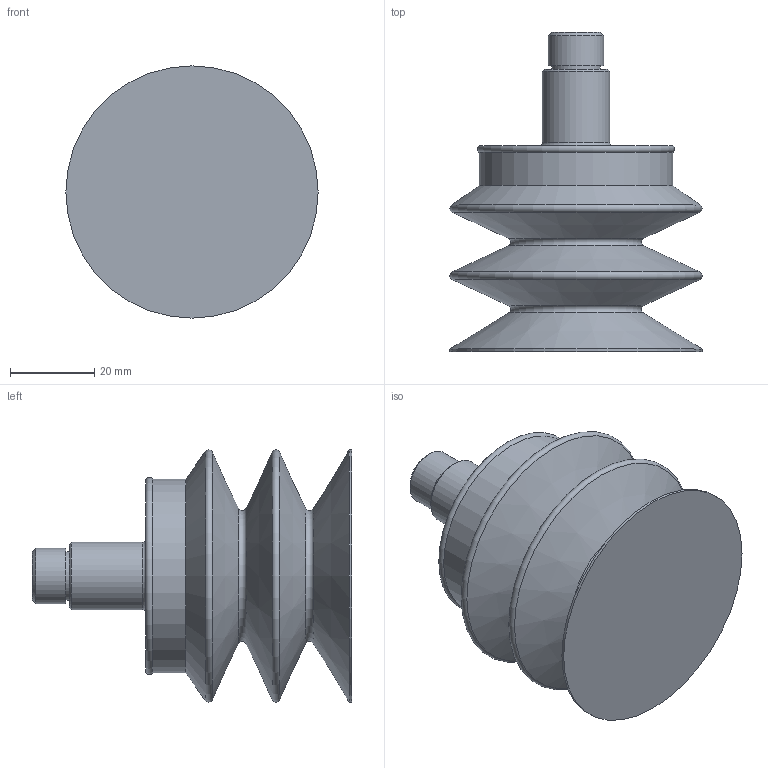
import cadquery as cq
import math


total_length = 76.0
cup_radius = 30.01

lip_thickness = 0.6

waist_radius = 15.55
first_waist_y = 10.05
fold_pitch = 16.0
fold_count = 2
waist_to_fold = fold_pitch / 2
waist_round_radius = 1.0
fold_round_radius = 1.0

collar_radius = 46.0 / 2
collar_start_y = 39.5
rim_overhang = 0.45
rim_width = 1.6
collar_end_y = 49.0

stem_radius = 16.0 / 2
stem_end_y = 67.2
stem_chamfer = 0.5
stem_root_fillet = 0.8
thread_radius = 13.16 / 2
thread_root_radius = 11.44 / 2
thread_length = 8.0
thread_chamfer = thread_radius - thread_root_radius


def add_round(profile, apex_radius, apex_y, round_radius, bulge, slope_before, slope_after):
    """Add an arc tangent to the cones before and after it.

    bulge is +1 for an outward fold and -1 for an inward waist. The slopes are the
    unsigned angles of the neighbouring cones from the Y axis.
    """
    centre_radius = apex_radius - bulge * round_radius

    def arc_point(slope, side):
        radius = centre_radius + bulge * round_radius * math.cos(slope)
        y = apex_y + side * round_radius * math.sin(slope)
        return (radius, y)

    start = arc_point(slope_before, -1)
    end = arc_point(slope_after, 1)
    return profile.lineTo(*start).threePointArc((apex_radius, apex_y), end)


def tangent_slope(radius_change, y_change, round_radii):
    """Steepness, as an angle from the Y axis, of a cone tangent to the rounds at its ends.

    The changes are the unsigned distances between the round centres, and round_radii is
    the sum of the round radii. A sharp end counts as a round of zero radius.
    """
    distance = math.hypot(radius_change, y_change)
    return math.atan2(radius_change, y_change) + math.asin(round_radii / distance)


def bellows_profile(profile):
    """Add the waists and folds, from the lip to the collar."""
    waist_centre_radius = waist_radius + waist_round_radius
    fold_centre_radius = cup_radius - fold_round_radius
    fold_slope = tangent_slope(
        fold_centre_radius - waist_centre_radius,
        waist_to_fold,
        waist_round_radius + fold_round_radius,
    )
    lip_slope = tangent_slope(
        cup_radius - waist_centre_radius, first_waist_y - lip_thickness, waist_round_radius
    )
    last_fold_y = first_waist_y + (fold_count - 1) * fold_pitch + waist_to_fold
    collar_slope = tangent_slope(
        fold_centre_radius - collar_radius, collar_start_y - last_fold_y, fold_round_radius
    )

    for index in range(fold_count):
        waist_y = first_waist_y + index * fold_pitch
        fold_y = waist_y + waist_to_fold
        slope_before_waist = lip_slope if index == 0 else fold_slope
        slope_after_fold = collar_slope if index == fold_count - 1 else fold_slope
        profile = add_round(
            profile, waist_radius, waist_y, waist_round_radius, -1, slope_before_waist, fold_slope
        )
        profile = add_round(
            profile, cup_radius, fold_y, fold_round_radius, 1, fold_slope, slope_after_fold
        )
    return profile


def collar_profile(profile):
    """Add the cylindrical collar and the rounded rim at its back."""
    rim_start_y = collar_end_y - rim_width
    return (
        profile.lineTo(collar_radius, collar_start_y)
        .lineTo(collar_radius, rim_start_y)
        .threePointArc(
            (collar_radius + rim_overhang, collar_end_y - rim_width / 2),
            (collar_radius, collar_end_y),
        )
    )


def stem_profile(profile):
    """Add the stem, the thread relief groove and the threaded end."""
    fillet_mid = stem_root_fillet * (1 - math.sqrt(0.5))
    thread_start_y = total_length - thread_length
    return (
        profile.lineTo(stem_radius + stem_root_fillet, collar_end_y)
        .threePointArc(
            (stem_radius + fillet_mid, collar_end_y + fillet_mid),
            (stem_radius, collar_end_y + stem_root_fillet),
        )
        .lineTo(stem_radius, stem_end_y - stem_chamfer)
        .lineTo(stem_radius - stem_chamfer, stem_end_y)
        .lineTo(thread_root_radius, stem_end_y)
        .lineTo(thread_root_radius, thread_start_y)
        .lineTo(thread_radius, thread_start_y)
        .lineTo(thread_radius, total_length - thread_chamfer)
        .lineTo(thread_root_radius, total_length)
        .lineTo(0, total_length)
    )


outline = (
    cq.Workplane("XY")
    .moveTo(0, 0)
    .lineTo(cup_radius, 0)
    .lineTo(cup_radius, lip_thickness)
)
outline = bellows_profile(outline)
outline = collar_profile(outline)
outline = stem_profile(outline)

result = outline.close().revolve(360, (0, 0, 0), (0, 1, 0))